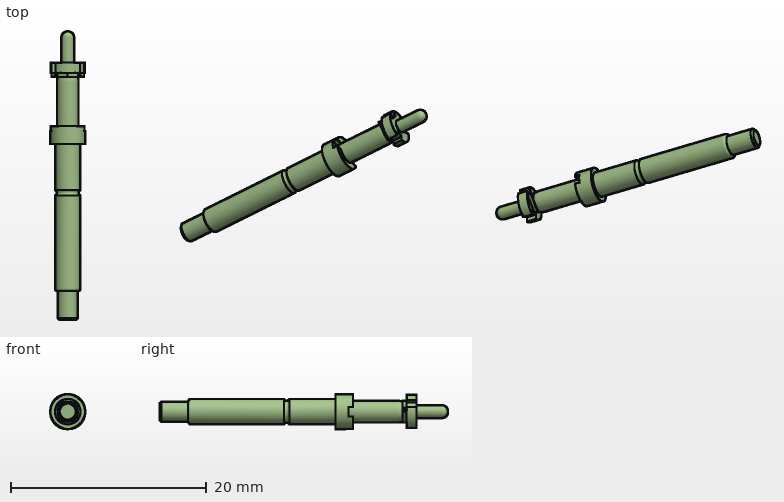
import cadquery as cq
import math

length = 29.5
tip_y = length / 2

probe_radius = 0.68
ring_radius = 1.75
neck_radius = 1.12
collar_radius = 1.8
barrel_radius = 1.3
groove_radius = 1.12
tail_radius = 1.03

ring_start = 3.22
ring_end = 4.25
key_end = 4.65
collar_start = 9.7
collar_end = 11.53
groove_center = 16.5
barrel_end = 26.55

neck_round_length = 0.45
neck_round_drop = 0.05
groove_width = 0.53
barrel_round = 0.27
tail_chamfer = 0.2

key_half_width = 1.68
key_half_height = neck_radius

slot_width = 0.83
slot_floor = 1.12
slot_angles = (30, 150, 270)

notch_width = 0.95
notch_depth = 0.5


def cross_section_at(distance):
    """Workplane square to the axis, facing the tail, at a distance behind the tip."""
    return cq.Workplane("XZ", origin=(0, tip_y - distance, 0))


def disc(start, end, radius):
    return cross_section_at(start).circle(radius).extrude(end - start)


def make_probe_tip():
    """Thin probe with a hemispherical tip."""
    shaft = disc(probe_radius, ring_start, probe_radius)
    dome = cq.Workplane("XY").sphere(probe_radius).translate((0, tip_y - probe_radius, 0))
    return shaft.union(dome)


def make_slotted_head():
    """Ring and rhombic key, with flat-floored radial slots cut through both."""
    ring = disc(ring_start, ring_end, ring_radius)
    key = (
        cross_section_at(ring_end)
        .polyline([
            (key_half_width, 0),
            (0, key_half_height),
            (-key_half_width, 0),
            (0, -key_half_height),
        ])
        .close()
        .extrude(key_end - ring_end)
    )
    head = ring.union(key)
    slot_depth = collar_radius - slot_floor
    for angle in slot_angles:
        slot = (
            cross_section_at(ring_start)
            .transformed(rotate=(0, 0, angle))
            .center(slot_floor + slot_depth / 2, 0)
            .rect(slot_depth, slot_width)
            .extrude(key_end - ring_start)
        )
        head = head.cut(slot)
    return head


def make_neck():
    """Plain neck whose front edge is eased by a shallow arc tangent to the neck."""
    arc_radius = (neck_round_length**2 + neck_round_drop**2) / (2 * neck_round_drop)
    half_angle = math.asin(neck_round_length / arc_radius) / 2
    arc_end_y = tip_y - key_end - neck_round_length
    arc_middle = (
        neck_radius - arc_radius * (1 - math.cos(half_angle)),
        arc_end_y + arc_radius * math.sin(half_angle),
    )
    collar_y = tip_y - collar_end
    return (
        cq.Workplane("XY")
        .moveTo(0, collar_y)
        .lineTo(neck_radius, collar_y)
        .lineTo(neck_radius, arc_end_y)
        .threePointArc(arc_middle, (neck_radius - neck_round_drop, tip_y - key_end))
        .lineTo(0, tip_y - key_end)
        .close()
        .revolve(360, (0, 0, 0), (0, 1, 0))
    )


def make_collar():
    """Collar with a notch down to the neck on its -X and +X sides."""
    collar = disc(collar_start, collar_end, collar_radius)
    notches = (
        cross_section_at(collar_start)
        .rect(2 * collar_radius, notch_width)
        .extrude(notch_depth)
    )
    return collar.cut(notches)


def make_barrel():
    """Long barrel with a rounded rear edge and a round-bottomed groove around it."""
    barrel = disc(collar_end, barrel_end, barrel_radius).faces("<Y").edges().fillet(barrel_round)
    groove_y = tip_y - groove_center
    groove = (
        cq.Workplane("XY")
        .moveTo(barrel_radius, groove_y - groove_width / 2)
        .threePointArc((groove_radius, groove_y), (barrel_radius, groove_y + groove_width / 2))
        .close()
        .revolve(360, (0, 0, 0), (0, 1, 0))
    )
    return barrel.cut(groove)


def make_tail():
    return disc(barrel_end, length, tail_radius).faces("<Y").edges().chamfer(tail_chamfer)


result = (
    make_probe_tip()
    .union(make_slotted_head())
    .union(make_collar())
    .union(make_neck())
    .union(make_barrel())
    .union(make_tail())
)